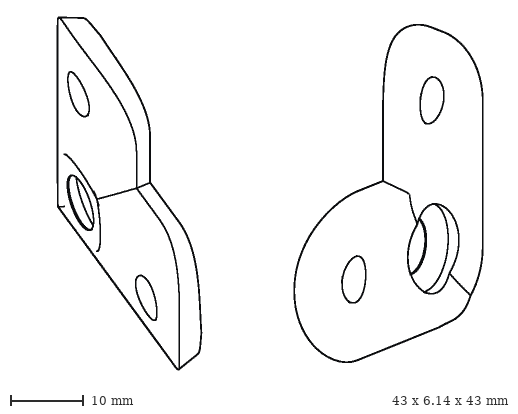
import cadquery as cq
import math

arm_length = 43.0
arm_width = 24.0
outer_radius = 25.0
thickness = 3.7

corner_radius = 10.0
inner_edge_radius = 0.5

hole_spacing = 21.0
end_hole_diameter = 6.5
corner_hole_diameter = 8.0
seat_half_width = 5.0
land_depth = 0.2
recess_radius = 6.2

half_width = arm_width / 2
inner_radius = outer_radius - thickness
half_angle = math.asin(half_width / outer_radius)
end_rounding = half_width
end_center = arm_length - end_rounding
seat_radius = seat_half_width * math.sqrt(2)
seat_depth = outer_radius - math.sqrt(outer_radius**2 - seat_half_width**2)

outer_lip = outer_radius * (1 - math.cos(half_angle))
inner_lip = outer_radius - inner_radius * math.cos(half_angle)

margin = 4.3
tolerance = 0.005


def curved_sheet():
    """Tube along Z from which the upright arm is trimmed."""
    return (
        cq.Workplane("XY", origin=(half_width, outer_radius, -margin))
        .circle(outer_radius)
        .circle(inner_radius)
        .extrude(arm_length + 2 * margin)
    )


def left_trim():
    """Block behind the arm's left radial side wall, with its top corner rounded along that wall."""
    side_plane = cq.Plane(
        origin=(half_width, outer_radius, 0),
        xDir=(math.cos(half_angle), -math.sin(half_angle), 0),
        normal=(-math.sin(half_angle), -math.cos(half_angle), 0),
    )
    mid_arc = end_rounding * (1 - math.sqrt(0.5))
    return (
        cq.Workplane(side_plane)
        .moveTo(0, -margin)
        .lineTo(0, end_center)
        .threePointArc((mid_arc, arm_length - mid_arc), (end_rounding, arm_length))
        .lineTo(arm_width + margin, arm_length)
        .lineTo(arm_width + margin, -margin)
        .close()
        .extrude(outer_radius + margin)
    )


def mitre_side():
    """Wedge holding everything on the upright arm's side of the mitre plane X = Z."""
    reach = arm_length + margin
    return (
        cq.Workplane("XZ", origin=(0, reach, 0))
        .polyline([(-margin, -margin), (reach, reach), (-margin, reach)])
        .close()
        .extrude(2 * reach)
    )


def with_mirrored_arm(arm):
    """Join an upright arm to its mirror image across the mitre plane."""
    return arm.union(arm.mirror(cq.Vector(1, 0, -1)))


def upright_arm():
    """Arm along Z with radial side walls, a rounded top end and a mitred lower end."""
    left = left_trim()
    right = left.mirror("YZ", (half_width, 0, 0))
    return curved_sheet().intersect(left).intersect(right).intersect(mitre_side())


def round_wall_corner(bracket):
    """Round the outside corner where the two long side walls meet."""
    wall_corner = (0, outer_lip, 0)
    return bracket.edges(cq.selectors.NearestToPointSelector(wall_corner)).fillet(corner_radius)


def lies_on_mitre(edge):
    """True if both ends of the edge are on the mitre plane."""
    ends = (edge.startPoint(), edge.endPoint())
    return all(abs(end.x - end.z) < tolerance for end in ends)


def round_concave_rim(arm):
    """Round the rim of the arm's concave face, except along the mitre."""
    concave_face = arm.faces(cq.selectors.NearestToPointSelector((half_width, thickness, end_center)))
    rim = [edge for edge in concave_face.edges().vals() if not lies_on_mitre(edge)]
    return arm.newObject(rim).fillet(inner_edge_radius)


def round_cutter(x, z, diameter, depth):
    """Cylinder along Y that reaches from outside the part to the given depth."""
    return (
        cq.Workplane("XZ", origin=(x, -margin, z))
        .circle(diameter / 2)
        .extrude(-(depth + margin))
    )


def corner_countersink():
    """Cutter for the concave side of the corner hole: a 45 degree cone opening into a cylinder."""
    hole_radius = corner_hole_diameter / 2
    cone_start = seat_depth + land_depth
    cone_end = cone_start + recess_radius - hole_radius
    cutter_end = inner_lip + margin
    return (
        cq.Workplane("XY", origin=(half_width, 0, half_width))
        .moveTo(0, cone_start)
        .lineTo(hole_radius, cone_start)
        .lineTo(recess_radius, cone_end)
        .lineTo(recess_radius, cutter_end)
        .lineTo(0, cutter_end)
        .close()
        .revolve(360, (0, 0, 0), (0, 1, 0))
    )


rounded_bracket = round_wall_corner(with_mirrored_arm(upright_arm()))
rounded_arm = round_concave_rim(rounded_bracket.intersect(mitre_side()))
result = with_mirrored_arm(rounded_arm)

result = result.cut(round_cutter(half_width, half_width, 2 * seat_radius, seat_depth))
result = result.cut(round_cutter(half_width, half_width, corner_hole_diameter, inner_lip))
result = result.cut(corner_countersink())

end_hole = half_width + hole_spacing
for x, z in [(end_hole, half_width), (half_width, end_hole)]:
    result = result.cut(round_cutter(x, z, end_hole_diameter, inner_lip))